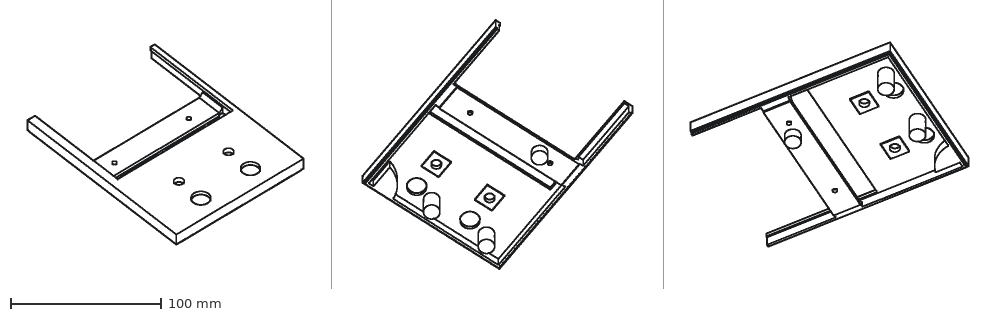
import cadquery as cq

LENGTH = 149.95
WIDTH = 113.0
PLATE_THICKNESS = 3.0
WALL_THICKNESS = 3.0
WALL_DEPTH = 9.0

LIP_INSET = 1.2
LIP_DEPTH = 10.8

OPENING_LENGTH = 83.2
FRONT_RAIL_WIDTH = 6.8
BACK_RAIL_WIDTH = 4.0

BAR_START_X = 51.6
BAR_WIDTH = 20.2
BAR_THICKNESS = 3.0
BAR_BEVEL = 3.0
BAR_DEPTH = WALL_DEPTH + BAR_THICKNESS
SCREW_HOLE_DIAMETER = 3.2
SCREW_HOLE_X = 62.4
SCREW_HOLE_SPACING = 66.0
SCREW_HOLE_CENTRE_Y = -1.2

HOLE_SPACING = 44.0
HOLE_CENTRE_Y = 1.5
LARGE_HOLE_DIAMETER = 13.25
LARGE_HOLE_X = 133.9
SMALL_HOLE_DIAMETER = 7.0
SMALL_HOLE_X = 111.8
PAD_SIZE = 14.2
PAD_HEIGHT = 1.0

FOOT_DIAMETER = 11.0
FOOT_DEPTH = 19.0
BAR_FOOT_X = 59.8
BAR_FOOT_Y = -23.6
PLATE_FOOT_X = 136.1
PLATE_FEET_Y = (9.5, -35.7)

CORNER_RADIUS = 22.0
CORNER_CENTRE_Y = 55.0
CORNER_WALL_GAP = 3.9

HALF_WIDTH = WIDTH / 2
INNER_X = LENGTH - WALL_THICKNESS
INNER_Y = HALF_WIDTH - WALL_THICKNESS
OPENING_FRONT_Y = -HALF_WIDTH + FRONT_RAIL_WIDTH
OPENING_BACK_Y = HALF_WIDTH - BACK_RAIL_WIDTH


def box(x_range, y_range, depth_range):
    """Box between two X, two Y and two depths below the top face, which lies at Z = 0."""
    x0, x1 = x_range
    y0, y1 = y_range
    upper, lower = depth_range
    return (
        cq.Workplane("XY", origin=(x0, y0, -lower))
        .box(x1 - x0, y1 - y0, lower - upper, centered=False)
    )


def cylinder(x, y, diameter, upper, lower):
    """Vertical cylinder between two depths below the top face."""
    return cq.Workplane("XY", origin=(x, y, -lower)).circle(diameter / 2).extrude(lower - upper)


def pair_positions(centre, spacing):
    """Two positions placed evenly about a centre."""
    return centre - spacing / 2, centre + spacing / 2


def make_shell():
    """Plate with three walls, the lip below them and the rectangular opening."""
    shell = box((0, LENGTH), (-HALF_WIDTH, HALF_WIDTH), (0, WALL_DEPTH))
    lip_outer_y = HALF_WIDTH - LIP_INSET
    lip = box((0, LENGTH - LIP_INSET), (-lip_outer_y, lip_outer_y), (WALL_DEPTH, LIP_DEPTH))
    cavity = box((0, INNER_X), (-INNER_Y, INNER_Y), (PLATE_THICKNESS, LIP_DEPTH))
    opening = box((0, OPENING_LENGTH), (OPENING_FRONT_Y, OPENING_BACK_Y), (0, PLATE_THICKNESS))
    return shell.union(lip).cut(cavity).cut(opening)


def make_crossbar():
    """Flat bar with bevelled ends; its front end also fills the space under the front rail."""
    bevel_top = -WALL_DEPTH + BAR_BEVEL
    bottom_end_y = INNER_Y - BAR_BEVEL
    profile = [
        (INNER_Y, bevel_top),
        (INNER_Y - BAR_BEVEL, -WALL_DEPTH),
        (OPENING_FRONT_Y + BAR_BEVEL, -WALL_DEPTH),
        (OPENING_FRONT_Y, bevel_top),
        (OPENING_FRONT_Y, -PLATE_THICKNESS),
        (-INNER_Y, -PLATE_THICKNESS),
        (-INNER_Y, -LIP_DEPTH),
        (-bottom_end_y, -LIP_DEPTH),
        (-bottom_end_y, -BAR_DEPTH),
        (bottom_end_y, -BAR_DEPTH),
        (bottom_end_y, -LIP_DEPTH),
        (INNER_Y, -LIP_DEPTH),
    ]
    bar = cq.Workplane("YZ", origin=(BAR_START_X, 0, 0)).polyline(profile).close().extrude(BAR_WIDTH)
    for y in pair_positions(SCREW_HOLE_CENTRE_Y, SCREW_HOLE_SPACING):
        bar = bar.cut(cylinder(SCREW_HOLE_X, y, SCREW_HOLE_DIAMETER, WALL_DEPTH, BAR_DEPTH))
    return bar


def make_corner_block():
    """Round-faced block in the +X +Y corner, standing clear of the back wall."""
    disc = cylinder(LENGTH, CORNER_CENTRE_Y, 2 * CORNER_RADIUS, PLATE_THICKNESS, LIP_DEPTH)
    limits = box(
        (LENGTH - CORNER_RADIUS, INNER_X),
        (CORNER_CENTRE_Y - CORNER_RADIUS, INNER_Y - CORNER_WALL_GAP),
        (PLATE_THICKNESS, LIP_DEPTH),
    )
    return disc.intersect(limits)


def add_plate_holes(part):
    """Two large plain holes and two small holes with square pads below the plate."""
    pad_bottom = PLATE_THICKNESS + PAD_HEIGHT
    for y in pair_positions(HOLE_CENTRE_Y, HOLE_SPACING):
        pad = box(
            pair_positions(SMALL_HOLE_X, PAD_SIZE),
            pair_positions(y, PAD_SIZE),
            (PLATE_THICKNESS, pad_bottom),
        )
        part = part.union(pad)
        part = part.cut(cylinder(SMALL_HOLE_X, y, SMALL_HOLE_DIAMETER, 0, pad_bottom))
        part = part.cut(cylinder(LARGE_HOLE_X, y, LARGE_HOLE_DIAMETER, 0, PLATE_THICKNESS))
    return part


def add_feet(part):
    """One foot under the crossbar and two long feet under the plate, all ending level."""
    part = part.union(cylinder(BAR_FOOT_X, BAR_FOOT_Y, FOOT_DIAMETER, BAR_DEPTH, FOOT_DEPTH))
    for y in PLATE_FEET_Y:
        part = part.union(cylinder(PLATE_FOOT_X, y, FOOT_DIAMETER, PLATE_THICKNESS, FOOT_DEPTH))
    return part


body = make_shell().union(make_crossbar()).union(make_corner_block())
body = add_plate_holes(body)
result = add_feet(body)